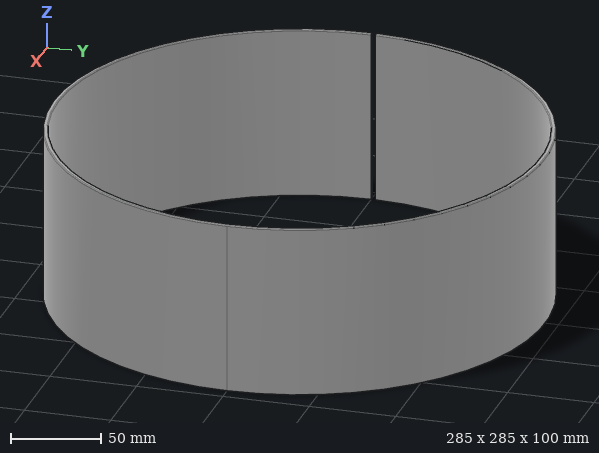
import cadquery as cq

outer_diameter = 285.0
height = 100.0
wall = 2.8
rim_round = 0.5
slit_width = 2.5

outer_radius = outer_diameter / 2
inner_radius = outer_radius - wall


def make_band():
    """Plain ring with all four rim edges rounded."""
    ring = cq.Workplane("XY").circle(outer_radius).circle(inner_radius).extrude(height)
    return ring.edges("%CIRCLE").fillet(rim_round)


def make_slit():
    """Full-height cutter with one side on the XZ plane and the other at +Y."""
    slit_length = 4 * wall
    return (
        cq.Workplane("XY")
        .center(-outer_radius, slit_width / 2)
        .rect(slit_length, slit_width)
        .extrude(height)
    )


result = make_band().cut(make_slit())